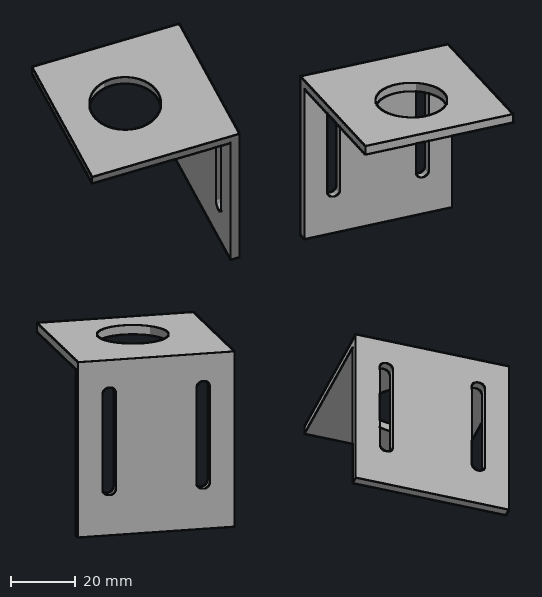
import cadquery as cq

width = 50.0
depth = 49.0
height = 56.0
thickness = 3.0

opening_diameter = 22.1
opening_from_front = 21.0

slot_width = 4.3
slot_center_distance = 30.0
slot_spacing = 30.0
slot_center_height = 30.0
slot_length = slot_center_distance + slot_width


def make_bracket():
    """L-shaped body: centered on X, front edge at Y = 0, bottom at Z = 0."""
    back_wall = cq.Workplane("XY").box(width, thickness, height, centered=(True, False, False))
    back_wall = back_wall.translate((0, depth - thickness, 0))
    top_flange = cq.Workplane("XY").box(width, depth, thickness, centered=(True, False, False))
    top_flange = top_flange.translate((0, 0, height - thickness))
    return back_wall.union(top_flange)


def make_opening():
    """Cylinder that passes through the top flange."""
    return (
        cq.Workplane("XY", origin=(0, opening_from_front, height - thickness))
        .circle(opening_diameter / 2)
        .extrude(thickness)
    )


def make_slots():
    """Two round-ended vertical slots that pass through the back wall."""
    return (
        cq.Workplane("XZ", origin=(0, depth, slot_center_height))
        .pushPoints([(-slot_spacing / 2, 0), (slot_spacing / 2, 0)])
        .slot2D(slot_length, slot_width, angle=90)
        .extrude(thickness)
    )


result = make_bracket().cut(make_opening()).cut(make_slots())